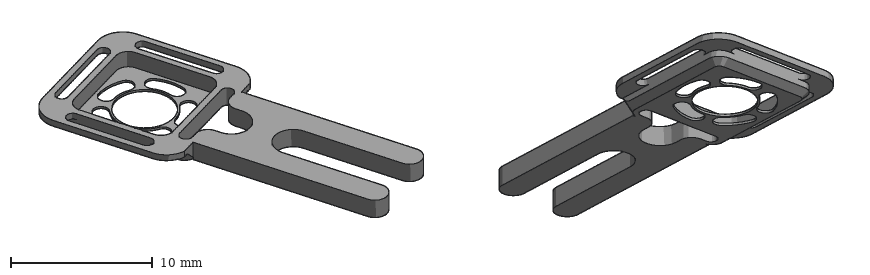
import cadquery as cq
import math

total_length = 27.0
plate_size = 12.0
plate_thickness = 0.5
plate_corner_radius = 2.0
total_thickness = 1.5

pocket_size = 8.0
tub_wall = 0.5
tub_corner_radius = 1.0
floor_thickness = 0.2
chamfer_size = 0.5

slot_length = 7.0
slot_width = 1.0

hole_diameter = 4.65
vent_count = 5
vent_ring_radius = 3.1
vent_width = 1.25
vent_half_angle = 18.0

arm_width = slot_length
gap_width = 3.0
shoulder_trim = 0.13
notch_tip_from_slot = 3.0
bridge_length = 2.0

half_plate = plate_size / 2
arm_end = total_length - half_plate
shoulder_x = half_plate - shoulder_trim
tub_size = pocket_size + 2 * tub_wall
half_tub = tub_size / 2
slot_offset = half_tub + slot_width / 2
notch_mouth_x = slot_offset + slot_width / 2
notch_tip_x = notch_mouth_x + notch_tip_from_slot
fork_root_x = notch_tip_x + bridge_length
gap_radius = gap_width / 2
tine_width = (arm_width - gap_width) / 2


def box(x_min, x_max, width, z_min, z_max):
    """Box centred on y = 0."""
    return (
        cq.Workplane("XY", origin=((x_min + x_max) / 2, 0, z_min))
        .box(x_max - x_min, width, z_max - z_min, centered=(True, True, False))
    )


def through_slot(x, y, length, width, angle):
    """Round-ended cutter through the whole part."""
    return (
        cq.Workplane("XY", origin=(x, y, -total_thickness))
        .slot2D(length, width, angle)
        .extrude(total_thickness)
    )


def make_plate():
    plate = box(-half_plate, half_plate, plate_size, -plate_thickness, 0)
    plate = plate.edges("|Z").fillet(plate_corner_radius)
    return plate.intersect(box(-half_plate, shoulder_x, plate_size, -plate_thickness, 0))


def make_tub():
    """Tub whose solid right end runs into the arm, with rounded ends to its chamfered underside."""
    tub = box(-half_tub, half_plate, tub_size, -total_thickness, 0)
    tub = tub.edges("|Z and <X").fillet(tub_corner_radius)
    tub = tub.faces("<Z").edges("not >X").chamfer(chamfer_size)
    for side in (-1, 1):
        tub = tub.cut(make_corner_rounding(side))
    return tub.intersect(box(-half_tub, shoulder_x, tub_size, -total_thickness, 0))


def make_corner_rounding(side):
    """Waste outside a round corner that runs along the 45 degree chamfer towards the arm."""
    radius = tub_corner_radius
    reach = total_thickness * 2
    chamfer_plane = cq.Plane(
        origin=(half_plate - radius, side * (half_tub - chamfer_size), -total_thickness),
        xDir=(1, 0, 0),
        normal=(0, side, 1),
    )
    inward = -side
    diagonal = radius * math.sqrt(0.5)
    return (
        cq.Workplane(chamfer_plane)
        .moveTo(0, 0)
        .threePointArc((diagonal, inward * (radius - diagonal)), (radius, inward * radius))
        .lineTo(radius, 0)
        .close()
        .extrude(reach, both=True)
    )


def make_arm():
    arm = box(shoulder_x, arm_end, arm_width, -total_thickness, 0)
    root_centre_x = fork_root_x + gap_radius
    fork_gap = box(root_centre_x, arm_end, gap_width, -total_thickness, 0)
    root = cq.Workplane("XY", origin=(root_centre_x, 0, -total_thickness))
    return arm.cut(fork_gap).cut(root.circle(gap_radius).extrude(total_thickness))


def make_notch():
    """Round-ended notch that flares with rounded shoulders into the slot beside the tub."""
    flare = tub_corner_radius
    bend = flare * (1 - math.sqrt(0.5))
    return (
        cq.Workplane("XY", origin=(0, 0, -total_thickness))
        .moveTo(notch_mouth_x, gap_radius + flare)
        .threePointArc((notch_mouth_x + bend, gap_radius + bend), (notch_mouth_x + flare, gap_radius))
        .lineTo(notch_tip_x - gap_radius, gap_radius)
        .threePointArc((notch_tip_x, 0), (notch_tip_x - gap_radius, -gap_radius))
        .lineTo(notch_mouth_x + flare, -gap_radius)
        .threePointArc((notch_mouth_x + bend, -gap_radius - bend), (notch_mouth_x, -gap_radius - flare))
        .close()
        .extrude(total_thickness)
    )


def make_vent(middle_angle):
    """Curved round-ended cutter on the vent ring."""
    def ring_point(radius, angle):
        turn = math.radians(angle)
        return (radius * math.cos(turn), radius * math.sin(turn))

    inner = vent_ring_radius - vent_width / 2
    outer = vent_ring_radius + vent_width / 2
    start = middle_angle - vent_half_angle
    end = middle_angle + vent_half_angle
    cap_angle = math.degrees(vent_width / 2 / vent_ring_radius)
    return (
        cq.Workplane("XY", origin=(0, 0, -total_thickness))
        .moveTo(*ring_point(inner, start))
        .threePointArc(ring_point(inner, middle_angle), ring_point(inner, end))
        .threePointArc(ring_point(vent_ring_radius, end + cap_angle), ring_point(outer, end))
        .threePointArc(ring_point(outer, middle_angle), ring_point(outer, start))
        .threePointArc(ring_point(vent_ring_radius, start - cap_angle), ring_point(inner, start))
        .close()
        .extrude(total_thickness)
    )


def make_pocket():
    half_pocket = pocket_size / 2
    pocket = box(-half_pocket, half_pocket, pocket_size, floor_thickness - total_thickness, 0)
    return pocket.edges("|Z").fillet(tub_corner_radius)


result = make_plate().union(make_tub()).union(make_arm())

tip_centre_x = arm_end - tine_width / 2
tine_y = (gap_width + tine_width) / 2
result = result.cut(box(tip_centre_x, arm_end, arm_width, -total_thickness, 0))
for side in (-1, 1):
    tip = cq.Workplane("XY", origin=(tip_centre_x, side * tine_y, -total_thickness))
    result = result.union(tip.circle(tine_width / 2).extrude(total_thickness))

for side in (-1, 1):
    result = result.cut(through_slot(side * slot_offset, 0, slot_length, slot_width, 90))
    result = result.cut(through_slot(0, side * slot_offset, slot_length, slot_width, 0))
result = result.cut(make_notch())

result = result.cut(make_pocket())
hole = cq.Workplane("XY", origin=(0, 0, -total_thickness)).circle(hole_diameter / 2)
result = result.cut(hole.extrude(total_thickness))
for index in range(vent_count):
    result = result.cut(make_vent(90 + index * 360 / vent_count))